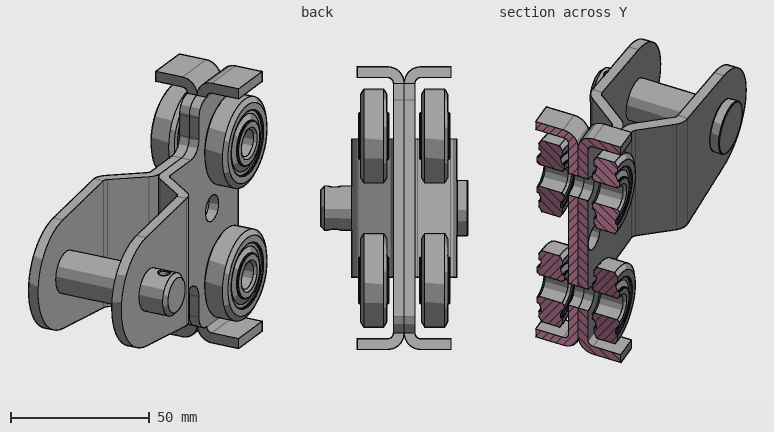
import cadquery as cq
import math


SHEET = 4.0
BEND_INSIDE = 2.0
BEND_OUTSIDE = BEND_INSIDE + SHEET
CLEVIS_GAP = 30.1
NECK_HALF_WIDTH = 25.0
NECK_BEND_Y = 44.1
BEND_ANGLE = math.radians(52)
NOSE_RADIUS = 21.5

WHEEL_Y = 81.0
WHEEL_Z = 26.0
HEAD_LENGTH = 30.1
HEAD_HALF_HEIGHT = 45.0
CORNER_RADIUS = 6.0
EAR_LENGTH = 18.0
EAR_REACH = 17.0

BORE_RADIUS = 5.0
MIDDLE_HOLE_Y = 76.0

WHEEL_X = 11.0
WHEEL_RADIUS = 17.0
RIM_WIDTH = 9.5
RIM_CHAMFER_RADIAL = 2.0
RIM_CHAMFER_AXIAL = 1.2
RECESS_RADIUS = 12.1
RECESS_DEPTH = 0.8
CONE_RADIUS = 10.8
HUB_WIDTH = 11.0
HUB_RADIUS = 8.5
BORE_CHAMFER = 1.0
FINE_CHAMFER = 0.3

PIN_RADIUS = 8.0
PIN_HEAD_RADIUS = 10.0
PIN_HEAD_LENGTH = 4.0
PIN_LENGTH = 53.0
PIN_TIP_CHAMFER = 1.4
COTTER_RADIUS = 2.0
COTTER_FROM_TIP = 5.0
COTTER_CHAMFER = 0.4

CLEVIS_HALF_WIDTH = CLEVIS_GAP / 2 + SHEET


def bent_strap():
    """Strap of sheet that leaves the neck, bends outward and then back along Y, cut to a round nose."""
    sin_a = math.sin(BEND_ANGLE)
    cos_a = math.cos(BEND_ANGLE)
    offset = CLEVIS_GAP / 2
    bends = BEND_INSIDE + BEND_OUTSIDE
    slope = (offset - bends * (1 - cos_a)) / sin_a
    clevis_bend_y = NECK_BEND_Y - bends * sin_a - slope * cos_a

    neck_center = (BEND_OUTSIDE, NECK_BEND_Y)
    clevis_center = (offset - BEND_INSIDE, clevis_bend_y)

    def on_neck_bend(radius, angle):
        return (neck_center[0] - radius * math.cos(angle), neck_center[1] - radius * math.sin(angle))

    def on_clevis_bend(radius, angle):
        return (clevis_center[0] + radius * math.cos(angle), clevis_center[1] + radius * math.sin(angle))

    half = BEND_ANGLE / 2
    strip = (
        cq.Workplane("XY")
        .workplane(offset=-NECK_HALF_WIDTH)
        .moveTo(0, NECK_BEND_Y)
        .threePointArc(on_neck_bend(BEND_OUTSIDE, half), on_neck_bend(BEND_OUTSIDE, BEND_ANGLE))
        .lineTo(*on_clevis_bend(BEND_INSIDE, BEND_ANGLE))
        .threePointArc(on_clevis_bend(BEND_INSIDE, half), on_clevis_bend(BEND_INSIDE, 0))
        .lineTo(offset, -NOSE_RADIUS)
        .lineTo(CLEVIS_HALF_WIDTH, -NOSE_RADIUS)
        .lineTo(*on_clevis_bend(BEND_OUTSIDE, 0))
        .threePointArc(on_clevis_bend(BEND_OUTSIDE, half), on_clevis_bend(BEND_OUTSIDE, BEND_ANGLE))
        .lineTo(*on_neck_bend(BEND_INSIDE, BEND_ANGLE))
        .threePointArc(on_neck_bend(BEND_INSIDE, half), on_neck_bend(BEND_INSIDE, 0))
        .close()
        .extrude(2 * NECK_HALF_WIDTH)
    )

    corner_distance = math.hypot(clevis_bend_y, NECK_HALF_WIDTH)
    touch_angle = math.atan2(NECK_HALF_WIDTH, clevis_bend_y) + math.acos(NOSE_RADIUS / corner_distance)
    touch_y = NOSE_RADIUS * math.cos(touch_angle)
    touch_z = NOSE_RADIUS * math.sin(touch_angle)
    outline = (
        cq.Workplane("YZ")
        .moveTo(NECK_BEND_Y, -NECK_HALF_WIDTH)
        .lineTo(NECK_BEND_Y, NECK_HALF_WIDTH)
        .lineTo(clevis_bend_y, NECK_HALF_WIDTH)
        .lineTo(touch_y, touch_z)
        .threePointArc((-NOSE_RADIUS, 0), (touch_y, -touch_z))
        .lineTo(clevis_bend_y, -NECK_HALF_WIDTH)
        .close()
        .extrude(CLEVIS_HALF_WIDTH)
    )
    return strip.intersect(outline)


def flat_head():
    """Flat T of the plate: the neck and the rounded head that carries the wheels."""
    neck_length = WHEEL_Y - NECK_BEND_Y
    neck = cq.Workplane("XY").box(SHEET, neck_length, 2 * NECK_HALF_WIDTH, centered=(False, False, True))
    head = cq.Workplane("XY").box(SHEET, HEAD_LENGTH, 2 * HEAD_HALF_HEIGHT, centered=(False, True, True))
    tee = neck.translate((0, NECK_BEND_Y, 0)).union(head.translate((0, WHEEL_Y, 0)))
    return tee.edges("|X and (not <Y)").fillet(CORNER_RADIUS)


def top_ear():
    """Ear that bends outward from the top edge of the head."""
    diagonal = math.sqrt(0.5)
    center_x = BEND_OUTSIDE
    center_z = HEAD_HALF_HEIGHT

    def bend_middle(radius):
        return (center_x - radius * diagonal, center_z + radius * diagonal)

    return (
        cq.Workplane("XZ", origin=(0, WHEEL_Y, 0))
        .moveTo(0, center_z)
        .threePointArc(bend_middle(BEND_OUTSIDE), (center_x, center_z + BEND_OUTSIDE))
        .lineTo(EAR_REACH, center_z + BEND_OUTSIDE)
        .lineTo(EAR_REACH, center_z + BEND_INSIDE)
        .lineTo(center_x, center_z + BEND_INSIDE)
        .threePointArc(bend_middle(BEND_INSIDE), (SHEET, center_z))
        .close()
        .extrude(EAR_LENGTH / 2, both=True)
    )


def make_plate():
    """Plate on the +X side, with its wheel holes, middle hole and pin hole."""
    ear = top_ear()
    plate = flat_head().union(bent_strap()).union(ear).union(ear.mirror("XY"))
    head_holes = (
        cq.Workplane("YZ")
        .pushPoints([(WHEEL_Y, WHEEL_Z), (WHEEL_Y, -WHEEL_Z), (MIDDLE_HOLE_Y, 0)])
        .circle(BORE_RADIUS)
        .extrude(SHEET)
    )
    pin_hole = cq.Workplane("YZ").circle(PIN_RADIUS).extrude(CLEVIS_HALF_WIDTH)
    return plate.cut(head_holes).cut(pin_hole)


def make_wheel(x, z):
    """Bored wheel with a chamfered rim; on both faces a cone rises from a round recess to the hub."""
    rim_face = RIM_WIDTH / 2
    hub_face = HUB_WIDTH / 2
    floor = rim_face - RECESS_DEPTH
    half_profile = [
        (hub_face - BORE_CHAMFER, BORE_RADIUS),
        (hub_face, BORE_RADIUS + BORE_CHAMFER),
        (hub_face, HUB_RADIUS - FINE_CHAMFER),
        (hub_face - FINE_CHAMFER, HUB_RADIUS),
        (rim_face, HUB_RADIUS),
        (floor, CONE_RADIUS),
        (floor, RECESS_RADIUS),
        (rim_face - FINE_CHAMFER, RECESS_RADIUS),
        (rim_face, RECESS_RADIUS + FINE_CHAMFER),
        (rim_face, WHEEL_RADIUS - RIM_CHAMFER_RADIAL),
        (rim_face - RIM_CHAMFER_AXIAL, WHEEL_RADIUS),
    ]
    other_half = [(-axial, radius) for axial, radius in reversed(half_profile)]
    wheel = cq.Workplane("XY").polyline(half_profile + other_half).close()
    return wheel.revolve(360, (0, 0, 0), (1, 0, 0)).translate((x, WHEEL_Y, z))


def make_pin():
    """Headed clevis pin with a chamfered tip and a cotter hole along Z."""
    head_start = -CLEVIS_HALF_WIDTH - PIN_HEAD_LENGTH
    tip = head_start + PIN_LENGTH
    head = (
        cq.Workplane("YZ", origin=(head_start, 0, 0))
        .circle(PIN_HEAD_RADIUS)
        .extrude(PIN_HEAD_LENGTH)
        .edges()
        .chamfer(FINE_CHAMFER)
    )
    shaft = (
        cq.Workplane("YZ", origin=(head_start, 0, 0))
        .circle(PIN_RADIUS)
        .extrude(PIN_LENGTH)
        .faces(">X")
        .chamfer(PIN_TIP_CHAMFER)
    )
    cotter_x = tip - COTTER_FROM_TIP
    cotter_hole = (
        cq.Workplane("XY", origin=(cotter_x, 0, -PIN_RADIUS))
        .circle(COTTER_RADIUS)
        .extrude(2 * PIN_RADIUS)
    )
    pin = head.union(shaft).cut(cotter_hole)
    for side in (-1, 1):
        mouth = cq.selectors.NearestToPointSelector((cotter_x, 0, side * PIN_RADIUS))
        pin = pin.edges(mouth).chamfer(COTTER_CHAMFER)
    return pin


right_plate = make_plate().solids().val()
left_plate = right_plate.mirror("YZ")
wheels = [make_wheel(x, z).val() for x in (-WHEEL_X, WHEEL_X) for z in (-WHEEL_Z, WHEEL_Z)]
pin = make_pin().solids().val()

result = cq.Compound.makeCompound([right_plate, left_plate, *wheels, pin])